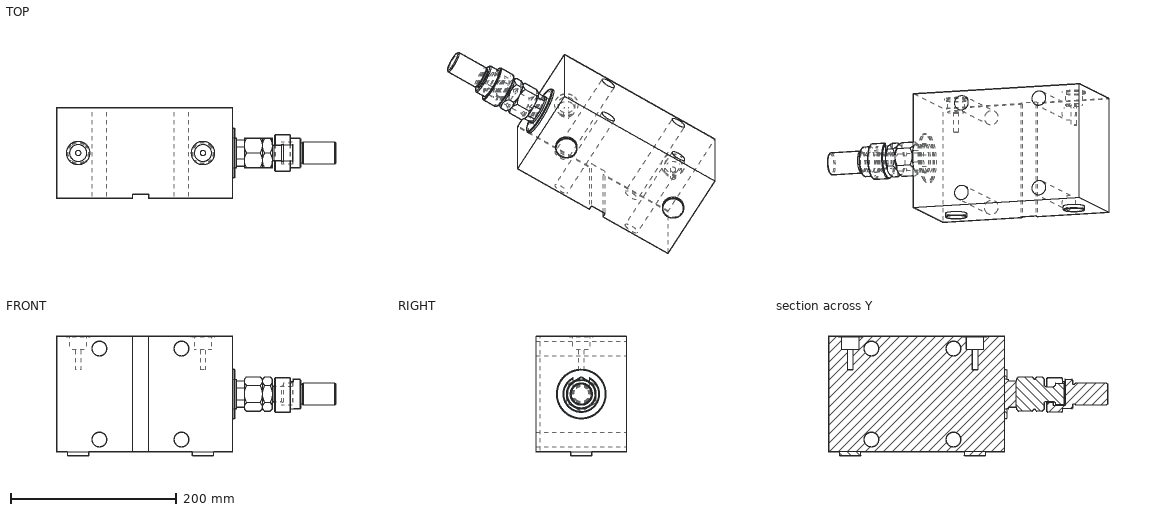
import cadquery as cq
import math


block_length = 212.5
block_width = 110.0
block_height = 140.0
block_edge_chamfer = 0.7

keyway_start = 91.8
keyway_width = 19.2
keyway_depth = 5.0

mount_hole_diameter = 17.5
mount_hole_first_x = 51.5
mount_hole_pitch_x = 99.2
mount_hole_pitch_z = 110.0

port_positions_x = (26.0, 177.0)
port_face_diameter = 28.5
port_face_depth = 1.0
port_diameter = 20.5
port_depth = 16.0
oil_passage_diameter = 6.5
oil_passage_depth = 40.5
plug_diameter = 26.0
plug_height = 4.7
plug_chamfer = 0.7

gland_diameter = 60.0
gland_thickness = 3.0
gland_chamfer = 1.0

rod_diameter = 35.8
rod_end_x = 226.8
rod_flats_across = 32.0
rod_flats_corner_diameter = 35.0
rod_flats_start_x = 217.7

hex_across_flats = 36.0
wrench_hex_end_x = 248.7
lock_hex_end_x = 261.0

shank_radius = 9.0
shank_root_radius = 10.0
shank_taper_length = 2.0
head_radius = 13.0
head_start_x = 274.0
head_end_x = 285.0
flare_size = 2.0

socket_start_x = 263.5
socket_lip_end_x = 282.8
socket_lip_diameter = 44.2
socket_lip_chamfer = 1.0
collar_end_x = 295.3
collar_diameter = 36.0
collar_chamfer = 1.5
slot_width = 19.5
slot_end_x = 286.0
head_cavity_start_x = 271.7
head_cavity_radius = 13.5
spigot_neck_radius = 12.0
spigot_neck_length = 1.7
spigot_radius = 13.5
spigot_chamfer = 1.5
spigot_end_x = 337.5


def axial_cylinder(radius, start_x, end_x):
    """Cylinder around the X axis between two X positions."""
    return cq.Workplane("YZ", origin=(start_x, 0, 0)).circle(radius).extrude(end_x - start_x)


def revolve_about_x(profile):
    """Revolve a closed (x, radius) outline around the X axis."""
    return cq.Workplane("XY").polyline(profile).close().revolve(360, (0, 0, 0), (1, 0, 0))


def make_housing():
    half_width = block_width / 2
    block = cq.Workplane("XY").box(block_length, block_width, block_height, centered=(False, True, True))
    block = block.faces(">Z").edges("|X").chamfer(block_edge_chamfer)

    keyway = cq.Workplane("XY").box(keyway_width, keyway_depth, block_height, centered=(False, False, True))
    block = block.cut(keyway.translate((keyway_start, -half_width, 0)))

    mount_points = [
        (mount_hole_first_x + column * mount_hole_pitch_x, side * mount_hole_pitch_z / 2)
        for column in (0, 1)
        for side in (-1, 1)
    ]
    mount_holes = (
        cq.Workplane("XZ", origin=(0, half_width, 0))
        .pushPoints(mount_points)
        .circle(mount_hole_diameter / 2)
        .extrude(block_width)
    )
    block = block.cut(mount_holes)

    port_steps = (
        (port_face_diameter, port_face_depth),
        (port_diameter, port_depth),
        (oil_passage_diameter, oil_passage_depth),
    )
    port_points = [(x, 0) for x in port_positions_x]
    for diameter, depth in port_steps:
        bores = (
            cq.Workplane("XY", origin=(0, 0, block_height / 2))
            .pushPoints(port_points)
            .circle(diameter / 2)
            .extrude(-depth)
        )
        block = block.cut(bores)
    return block


def make_plug(x):
    plug = cq.Workplane("XY", origin=(x, 0, -block_height / 2)).circle(plug_diameter / 2).extrude(-plug_height)
    return plug.faces("<Z").edges().chamfer(plug_chamfer)


def make_gland():
    gland_end_x = block_length + gland_thickness
    ring = axial_cylinder(gland_diameter / 2, block_length, gland_end_x)
    ring = ring.faces(">X").edges().chamfer(gland_chamfer)
    return ring.cut(axial_cylinder(rod_diameter / 2, block_length, gland_end_x))


def make_rod():
    round_part = axial_cylinder(rod_diameter / 2, block_length, rod_flats_start_x)
    square = (
        cq.Workplane("YZ", origin=(rod_flats_start_x, 0, 0))
        .rect(rod_flats_across, rod_flats_across)
        .extrude(rod_end_x - rod_flats_start_x)
    )
    turned_corners = axial_cylinder(rod_flats_corner_diameter / 2, rod_flats_start_x, rod_end_x)
    return round_part.union(square.intersect(turned_corners))


def make_chamfered_hex(start_x, end_x):
    """Hexagon along X whose corners are turned down to the inscribed circle at both ends."""
    flat_radius = hex_across_flats / 2
    corner_radius = hex_across_flats / math.sqrt(3)
    corner_drop = corner_radius - flat_radius
    prism = (
        cq.Workplane("YZ", origin=(start_x, 0, 0))
        .polygon(6, 2 * corner_radius)
        .extrude(end_x - start_x)
        .rotate((0, 0, 0), (1, 0, 0), 90)
    )
    turned_envelope = revolve_about_x([
        (start_x, 0),
        (start_x, flat_radius),
        (start_x + corner_drop, corner_radius),
        (end_x - corner_drop, corner_radius),
        (end_x, flat_radius),
        (end_x, 0),
    ])
    return prism.intersect(turned_envelope)


def make_stud():
    wrench_hex = make_chamfered_hex(rod_end_x, wrench_hex_end_x)
    lock_hex = make_chamfered_hex(wrench_hex_end_x, lock_hex_end_x)
    shank_and_head = revolve_about_x([
        (lock_hex_end_x, 0),
        (lock_hex_end_x, shank_root_radius),
        (lock_hex_end_x + shank_taper_length, shank_radius),
        (head_start_x - flare_size, shank_radius),
        (head_start_x, shank_radius + flare_size),
        (head_start_x, head_radius),
        (head_end_x, head_radius),
        (head_end_x, 0),
    ])
    return wrench_hex.union(lock_hex).union(shank_and_head)


def make_socket():
    spigot_start_x = collar_end_x + spigot_neck_length
    lip = axial_cylinder(socket_lip_diameter / 2, socket_start_x, socket_lip_end_x)
    lip = lip.edges().chamfer(socket_lip_chamfer)
    collar = axial_cylinder(collar_diameter / 2, socket_lip_end_x, collar_end_x)
    collar = collar.faces(">X").edges().chamfer(collar_chamfer)
    neck = axial_cylinder(spigot_neck_radius, collar_end_x, spigot_start_x)
    spigot = axial_cylinder(spigot_radius, spigot_start_x, spigot_end_x)
    spigot = spigot.edges().chamfer(spigot_chamfer)
    socket = lip.union(collar).union(neck).union(spigot)

    slot_half_width = slot_width / 2
    slot_top_z = socket_lip_diameter / 2
    slot = (
        cq.Workplane("YZ", origin=(socket_start_x, 0, 0))
        .moveTo(-slot_half_width, slot_top_z)
        .lineTo(-slot_half_width, 0)
        .threePointArc((0, -slot_half_width), (slot_half_width, 0))
        .lineTo(slot_half_width, slot_top_z)
        .close()
        .extrude(slot_end_x - socket_start_x)
    )
    head_cavity = axial_cylinder(head_cavity_radius, head_cavity_start_x, slot_end_x)
    return socket.cut(slot).cut(head_cavity)


housing = make_housing()
plugs = [make_plug(x) for x in port_positions_x]
gland = make_gland()
rod = make_rod()
stud = make_stud()
socket = make_socket()

result = cq.Compound.makeCompound([
    housing.val(),
    *[plug.val() for plug in plugs],
    gland.val(),
    rod.val(),
    stud.val(),
    socket.val(),
])